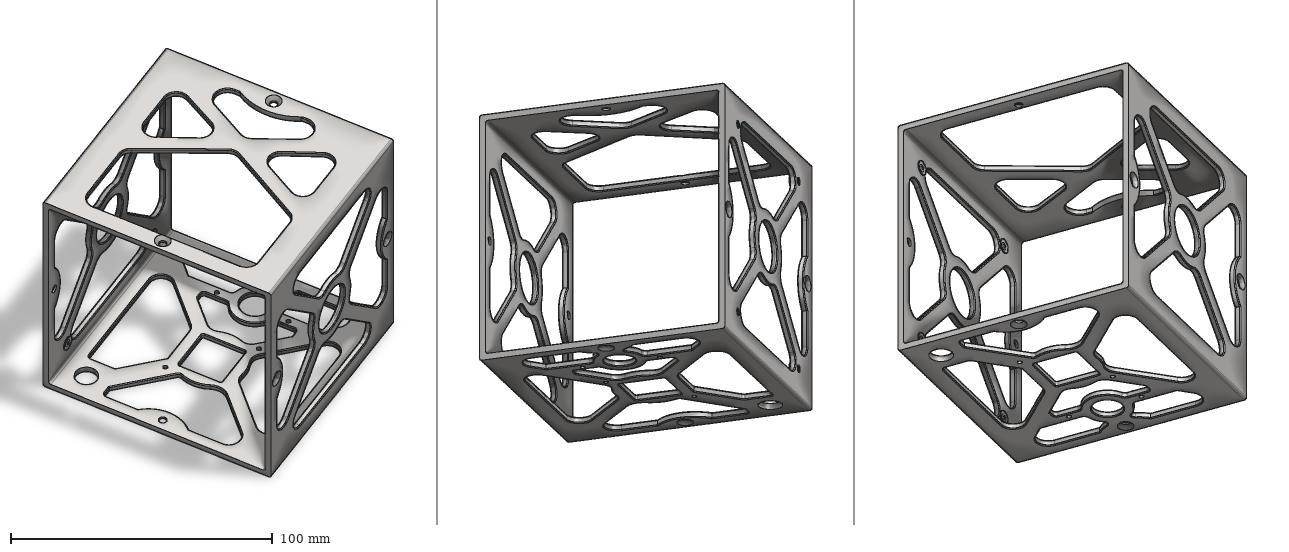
import cadquery as cq
import math

SIZE = 100.0
DEPTH = 95.0
WALL = 2.5
CORNER_RADIUS = 1.0
HALF = SIZE / 2
INNER_HALF = HALF - WALL
PLATE_MID = HALF - WALL / 2

RIB_WIDTH = 6.5
RIB_OFFSET = RIB_WIDTH / math.sqrt(2)
WINDOW_RADIUS = 5.0
HUB_RADIUS = 14.8
MARGIN_SIDE = 8.5
MARGIN_END = 5.0
SIDE_EDGE = HALF - MARGIN_SIDE
END_EDGE = DEPTH / 2 - MARGIN_END
CHAMFER = 0.4
FACE_TOLERANCE = CHAMFER / 4
CUT_HEIGHT = 2 * WALL

SCREW_POS = 43.0
SCREW_DIAMETER = 3.2
SCREW_HEAD_DIAMETER = 6.4
PAD_RADIUS = 16.0
PAD_EDGE = 38.0

WALL_BORE_DIAMETER = 20.0

TOP_RIB_ANGLE = 28.4
TOP_FRONT_ANGLE = 29.0
TOP_SIDE_REAR_ANGLE = 27.6
TOP_RIB_RISE = RIB_WIDTH / 2 / math.cos(math.radians(TOP_RIB_ANGLE))
TOP_RIGHT_INSET = 0.9
TOP_CROSSING_Y = 16.7
TOP_HALF_WIDTH = 37.2
TOP_FRONT_EDGE = -40.0
TOP_REAR_EDGE = 40.7
TOP_END_RADIUS = 5.5
TOP_PAD_RADIUS = 26.0
TOP_PAD_EDGE = 37.1

HUB_Y = -4.8
SQUARE_SIZE = 19.0
SQUARE_RADIUS = 0.8
WIDE_RIB_WIDTH = 9.2
WIDE_RIB_OFFSET = WIDE_RIB_WIDTH / math.sqrt(2)
CORNER_HOLE_DIAMETER = 9.3
CORNER_HOLE = (-37.0, -36.8)
LEFT_WINDOW_FRONT = -27.8
FRONT_WINDOW_LEFT = -26.4
SMALL_RADIUS = 1.5
RIGHT_FOOT_RADIUS = 7.0
RING_Y = 28.4
RING_RADIUS = 10.2
RING_BORE_DIAMETER = 12.3
BAR_FRONT = 24.5
BAR_REAR = 29.4
BAR_WINDOW_HALF = 20.8
BAR_RADIUS = 2.0
PILOT_DIAMETER = 1.9
HUB_PILOT_OFFSET = 13.1
BAR_PILOTS = (15.7, 26.6)

INSERT_Y = 33.0
INSERT_Z = 38.2
SHANK_DIAMETER = 3.0
FLANGE_DIAMETER = 5.8
FLANGE_THICKNESS = 0.4
INSERT_BORE_DIAMETER = 1.3
INSERT_MOUTH_DIAMETER = 1.9


def prism(points):
    return cq.Workplane("XY").polyline(points).close().extrude(CUT_HEIGHT / 2, both=True)


def disc(x, y, radius):
    return cq.Workplane("XY").center(x, y).circle(radius).extrude(CUT_HEIGHT / 2, both=True)


def round_corner(cutter, x, y, radius):
    """Round the upright edge of a cutter that is nearest to (x, y)."""
    return cutter.edges("|Z").edges(cq.selectors.NearestToPointSelector((x, y, 0))).fillet(radius)


def round_all(cutter, radius):
    return cutter.edges("|Z").fillet(radius)


def screw_pad(side):
    """Round pad at the screw hole; side is +1 or -1 along the plate's local Y."""
    return disc(0, side * (PAD_EDGE + PAD_RADIUS), PAD_RADIUS)


def both_sides(cutter):
    return [cutter, cutter.mirror("YZ")]


def wall_windows():
    hub = disc(0, 0, HUB_RADIUS)
    reach = SIDE_EDGE - RIB_OFFSET
    side = prism([(RIB_OFFSET, 0), (SIDE_EDGE, reach), (SIDE_EDGE, -reach)]).cut(hub)
    side = round_all(side, WINDOW_RADIUS)
    reach = END_EDGE - RIB_OFFSET
    end = prism([(0, RIB_OFFSET), (reach, END_EDGE), (-reach, END_EDGE)]).cut(hub)
    end = round_all(end, WINDOW_RADIUS).cut(screw_pad(1))
    return both_sides(side) + [end, end.mirror("XZ"), disc(0, 0, WALL_BORE_DIAMETER / 2)]


def top_front_window():
    lower = TOP_CROSSING_Y - TOP_RIB_RISE
    drop = TOP_HALF_WIDTH * math.tan(math.radians(TOP_FRONT_ANGLE))
    front = prism([
        (0, lower),
        (TOP_HALF_WIDTH, lower - drop),
        (TOP_HALF_WIDTH, TOP_FRONT_EDGE),
        (-TOP_HALF_WIDTH, TOP_FRONT_EDGE),
        (-TOP_HALF_WIDTH, lower - drop),
    ])
    return round_all(front, WINDOW_RADIUS)


def top_side_window(inset):
    """Right side window; inset moves its tip outwards along the front edge, away from the crossing."""
    slope = math.tan(math.radians(TOP_RIB_ANGLE))
    tip_x = TOP_RIB_RISE / slope + inset
    tip_y = TOP_CROSSING_Y - inset * slope
    reach = TOP_HALF_WIDTH - tip_x
    window = prism([
        (tip_x, tip_y),
        (TOP_HALF_WIDTH, tip_y + reach * math.tan(math.radians(TOP_SIDE_REAR_ANGLE))),
        (TOP_HALF_WIDTH, tip_y - reach * slope),
    ])
    return round_all(window, WINDOW_RADIUS)


def top_rear_window():
    slope = math.tan(math.radians(TOP_RIB_ANGLE))
    vertex = TOP_CROSSING_Y + TOP_RIB_RISE
    half = (TOP_REAR_EDGE - vertex) / slope
    window = prism([(0, vertex), (half, TOP_REAR_EDGE), (-half, TOP_REAR_EDGE)])
    window = round_corner(window, 0, vertex, WINDOW_RADIUS)
    return window.edges("|Z").edges(">Y").fillet(TOP_END_RADIUS)


def top_rear_pad():
    """Round pad that covers the middle of the rear window's edge; its own rim stays sharp."""
    pad = cq.Workplane("XY").center(0, TOP_PAD_EDGE + TOP_PAD_RADIUS).circle(TOP_PAD_RADIUS)
    pad = pad.extrude(WALL / 2, both=True)
    limit = cq.Workplane("XY").box(SIZE, 2 * (TOP_REAR_EDGE + 2 * CHAMFER), WALL)
    return pad.intersect(limit)


def top_windows():
    return [
        top_front_window(),
        top_side_window(0).mirror("YZ"),
        top_side_window(TOP_RIGHT_INSET),
        top_rear_window(),
    ]


def bottom_front_window():
    """Between the wide left rib and the right rib, which runs through the plate centre."""
    left = HUB_Y - WIDE_RIB_OFFSET
    right = -RIB_OFFSET
    window = prism([
        ((right - left) / 2, (right + left) / 2),
        (END_EDGE + right, -END_EDGE),
        (FRONT_WINDOW_LEFT, -END_EDGE),
        (FRONT_WINDOW_LEFT, FRONT_WINDOW_LEFT + left),
    ])
    window = window.cut(disc(0, HUB_Y, HUB_RADIUS))
    window = round_corner(window, END_EDGE + right, -END_EDGE, WINDOW_RADIUS)
    window = round_corner(window, FRONT_WINDOW_LEFT, -END_EDGE, SMALL_RADIUS)
    window = round_corner(window, HUB_RADIUS, -HUB_RADIUS, RIGHT_FOOT_RADIUS)
    window = round_corner(window, FRONT_WINDOW_LEFT / 4, HUB_Y - HUB_RADIUS, SMALL_RADIUS)
    return window.cut(screw_pad(-1))


def bottom_right_window():
    front = RIB_OFFSET
    rear = HUB_Y - RIB_OFFSET
    window = prism([
        ((front - rear) / 2, (front + rear) / 2),
        (SIDE_EDGE, SIDE_EDGE + rear),
        (SIDE_EDGE, front - SIDE_EDGE),
    ])
    return round_all(window.cut(disc(0, HUB_Y, HUB_RADIUS)), WINDOW_RADIUS)


def bottom_left_window():
    front = HUB_Y + WIDE_RIB_OFFSET
    rear = HUB_Y - RIB_OFFSET
    window = prism([
        (-HUB_RADIUS, HUB_RADIUS + rear),
        (-SIDE_EDGE, SIDE_EDGE + rear),
        (-SIDE_EDGE, LEFT_WINDOW_FRONT),
        (LEFT_WINDOW_FRONT - front, LEFT_WINDOW_FRONT),
        (-HUB_RADIUS, -HUB_RADIUS + front),
    ])
    window = round_corner(window, -SIDE_EDGE, SIDE_EDGE + rear, WINDOW_RADIUS)
    window = round_corner(window, -HUB_RADIUS, HUB_RADIUS + rear, WINDOW_RADIUS)
    window = round_corner(window, -SIDE_EDGE, LEFT_WINDOW_FRONT, SMALL_RADIUS)
    return round_corner(window, LEFT_WINDOW_FRONT - front, LEFT_WINDOW_FRONT, SMALL_RADIUS)


def bottom_middle_window():
    """Between the hub and the cross bar with its ring."""
    vertex = HUB_Y + RIB_OFFSET
    window = prism([
        (0, vertex),
        (BAR_WINDOW_HALF, BAR_WINDOW_HALF + vertex),
        (BAR_WINDOW_HALF, BAR_FRONT),
        (-BAR_WINDOW_HALF, BAR_FRONT),
        (-BAR_WINDOW_HALF, BAR_WINDOW_HALF + vertex),
    ])
    window = window.cut(disc(0, HUB_Y, HUB_RADIUS)).cut(disc(0, RING_Y, RING_RADIUS))
    for side in (-1, 1):
        window = round_corner(window, side * HUB_RADIUS / 2, HUB_Y + HUB_RADIUS, WINDOW_RADIUS)
        window = round_corner(window, side * RING_RADIUS, BAR_FRONT, BAR_RADIUS)
        window = round_corner(window, side * BAR_WINDOW_HALF, BAR_FRONT, SMALL_RADIUS)
    return window


def bottom_rear_window():
    """Right one of the two windows behind the cross bar."""
    vertex = HUB_Y + RIB_OFFSET
    window = prism([
        (0, BAR_REAR),
        (BAR_REAR - vertex, BAR_REAR),
        (END_EDGE - vertex, END_EDGE),
        (0, END_EDGE),
    ])
    window = window.cut(disc(0, RING_Y, RING_RADIUS)).cut(screw_pad(1))
    window = round_corner(window, END_EDGE - vertex, END_EDGE, WINDOW_RADIUS)
    window = round_corner(window, RING_RADIUS, BAR_REAR, BAR_RADIUS)
    return round_corner(window, 0, PAD_EDGE, SMALL_RADIUS)


def bottom_square():
    square = cq.Workplane("XY").center(0, HUB_Y).rect(SQUARE_SIZE, SQUARE_SIZE)
    return round_all(square.extrude(CUT_HEIGHT / 2, both=True), SQUARE_RADIUS)


def bottom_windows():
    return [
        bottom_front_window(),
        bottom_right_window(),
        bottom_left_window(),
        bottom_middle_window(),
        *both_sides(bottom_rear_window()),
        bottom_square(),
        disc(0, RING_Y, RING_BORE_DIAMETER / 2),
    ]


def bottom_plain_holes():
    pilots = [
        (HUB_PILOT_OFFSET, HUB_Y + HUB_PILOT_OFFSET),
        (-HUB_PILOT_OFFSET, HUB_Y - HUB_PILOT_OFFSET),
        BAR_PILOTS,
        (-BAR_PILOTS[0], BAR_PILOTS[1]),
    ]
    holes = [disc(x, y, PILOT_DIAMETER / 2) for x, y in pilots]
    return holes + [disc(*CORNER_HOLE, CORNER_HOLE_DIAMETER / 2)]


def screw_hole(side):
    """Countersunk hole; the wide end of the cone lies on the plate's outer (local +Z) face."""
    cone_depth = (SCREW_HEAD_DIAMETER - SCREW_DIAMETER) / 2
    cone = cq.Solid.makeCone(
        SCREW_DIAMETER / 2,
        SCREW_HEAD_DIAMETER / 2,
        cone_depth,
        pnt=cq.Vector(0, side * SCREW_POS, WALL / 2 - cone_depth),
    )
    return disc(0, side * SCREW_POS, SCREW_DIAMETER / 2).union(cq.Workplane(cone))


def on_plate(cutter, angle):
    """Lift a cutter to the top plate, then turn it about Y: 0 top, 90 +X wall, -90 -X wall."""
    return cutter.translate((0, 0, PLATE_MID)).rotate((0, 0, 0), (0, 1, 0), angle)


def on_bottom(cutter):
    return cutter.translate((0, 0, -PLATE_MID))


def tube():
    outer = cq.Workplane("XY").box(SIZE, DEPTH, SIZE).edges("|Y").fillet(CORNER_RADIUS)
    inner = cq.Workplane("XY").box(2 * INNER_HALF, DEPTH, 2 * INNER_HALF)
    return outer.cut(inner.edges("|Y").fillet(CORNER_RADIUS))


def rim_edges(axis, level):
    """Selector for all edges that lie in one plate face, clear of the plate's own border."""
    low = [-PLATE_MID + WALL, -DEPTH / 2 + WALL, -PLATE_MID + WALL]
    high = [-value for value in low]
    low[axis] = level - FACE_TOLERANCE
    high[axis] = level + FACE_TOLERANCE
    return cq.selectors.BoxSelector(low, high, boundingbox=True)


def make_frame():
    frame = tube()
    for angle in (90, -90):
        for window in wall_windows():
            frame = frame.cut(on_plate(window, angle))
    for window in top_windows():
        frame = frame.cut(on_plate(window, 0))
    for window in bottom_windows():
        frame = frame.cut(on_bottom(window))

    for axis in (0, 2):
        for level in (-HALF, -INNER_HALF, INNER_HALF, HALF):
            frame = frame.edges(rim_edges(axis, level)).chamfer(CHAMFER)

    frame = frame.union(on_plate(top_rear_pad(), 0))
    for hole in bottom_plain_holes():
        frame = frame.cut(on_bottom(hole))
    for angle in (0, 90, 180, 270):
        for side in (-1, 1):
            frame = frame.cut(on_plate(screw_hole(side), angle))
    for y, z in insert_places():
        frame = frame.cut(on_plate(disc(z, y, SHANK_DIAMETER / 2), -90))
    return frame


def insert_places():
    return [(y, z) for y in (-INSERT_Y, INSERT_Y) for z in (-INSERT_Z, INSERT_Z)]


def make_insert(y, z):
    """Flanged bush in the -X wall: the shank fills the hole, the flange rests on the inner face."""
    shank = cq.Workplane("YZ", origin=(-HALF, y, z)).circle(SHANK_DIAMETER / 2).extrude(WALL)
    flange = cq.Workplane("YZ", origin=(-INNER_HALF, y, z)).circle(FLANGE_DIAMETER / 2)
    flange = flange.extrude(FLANGE_THICKNESS)
    bore = cq.Workplane("YZ", origin=(-HALF, y, z)).circle(INSERT_BORE_DIAMETER / 2).extrude(CUT_HEIGHT)
    body = shank.union(flange).cut(bore)
    mouth_depth = (INSERT_MOUTH_DIAMETER - INSERT_BORE_DIAMETER) / 2
    return body.faces("<X").edges("%CIRCLE").edges(cq.selectors.RadiusNthSelector(0)).chamfer(mouth_depth)


frame = make_frame()
inserts = [make_insert(y, z) for y, z in insert_places()]

result = cq.Compound.makeCompound([frame.val(), *[insert.val() for insert in inserts]])